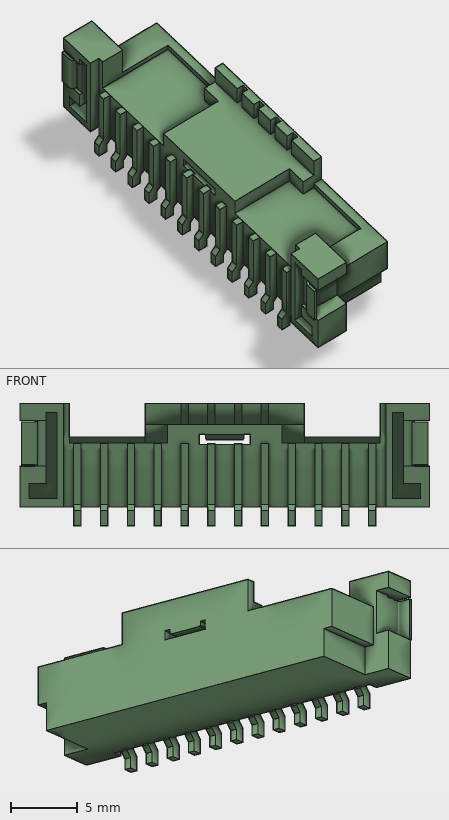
import cadquery as cq


total_length = 30.6
depth_y = 8.0
front_wall_y = 1.05
floor_z = 4.77
rim_z = 5.23
upper_half_length = 13.85
lower_half_length = 13.1
lower_step_z = 2.2
recess_half_length = 11.6
rear_wall_y = 7.25

raised_z = 6.15
raised_half_length = 4.28
shoulder_half_length = 5.95
shoulder_y = 6.25
top_z = 7.75

window_half_length = 1.9
window_bottom_z = 4.68
window_top_z = 5.42
key_half_length = 1.45
key_bottom_z = 5.02
key_chamfer = 0.1

pin_count = 12
pin_row_length = 22.0
pin_pitch = pin_row_length / (pin_count - 1)
pin_width = 0.55
pin_top_z = 4.75
pin_front_y = 0.43
pin_thickness = 0.75
foot_end_z = -1.4
bend_top_z = 0.18
bend_bottom_z = -0.28
bend_back_drop = 0.3

groove_count = 4
groove_back_y = 7.8

block_front_y = 0.23
block_back_y = 2.95
block_front_inner_x = 12.05
half_length = total_length / 2

pocket_inner_x = 12.52
pocket_stem_x = 13.35
pocket_foot_x = 14.6
pocket_bottom_z = 0.65
pocket_foot_z = 1.75
pocket_top_z = 7.07
pocket_depth = 2.35

notch_bottom_z = 3.05
notch_top_z = 6.45
tab_gap = 0.1
tab_thickness = 0.2
tab_outer_x = 15.18
tab_leg_x = 13.98
tab_bend_radius = 0.37
tab_leg_end_y = 1.53
tab_recess_y = 0.45


def box(x_range, y_range, z_range):
    """Box between pairs of X, Y and Z limits."""
    size = [high - low for low, high in (x_range, y_range, z_range)]
    corner = (x_range[0], y_range[0], z_range[0])
    return cq.Workplane("XY").box(*size, centered=False).translate(corner)


def centered_box(half_x, y_range, z_range):
    """Box that is symmetric about X = 0."""
    return box((-half_x, half_x), y_range, z_range)


def row(count):
    """X places of a centered row at the pin pitch."""
    return [(i - (count - 1) / 2) * pin_pitch for i in range(count)]


def housing():
    front_face = centered_box(block_front_inner_x, (front_wall_y, block_back_y), (0, floor_z))
    lower = centered_box(lower_half_length, (block_back_y, depth_y), (0, lower_step_z))
    upper = centered_box(upper_half_length, (block_back_y, depth_y), (lower_step_z, rim_z))
    recess = centered_box(recess_half_length, (front_wall_y, rear_wall_y), (floor_z, rim_z))
    return front_face.union(lower).union(upper).cut(recess)


def raised_middle():
    middle = centered_box(raised_half_length, (front_wall_y, depth_y), (floor_z, raised_z))
    shoulder = centered_box(shoulder_half_length, (shoulder_y, depth_y), (floor_z, raised_z))
    wall = centered_box(shoulder_half_length, (rear_wall_y, depth_y), (raised_z, top_z))
    for x in row(groove_count):
        groove = centered_box(pin_width / 2, (rear_wall_y, groove_back_y), (raised_z, top_z))
        wall = wall.cut(groove.translate((x, 0, 0)))
    return middle.union(shoulder).union(wall)


def window():
    opening = centered_box(window_half_length, (front_wall_y, depth_y), (window_bottom_z, window_top_z))
    key = centered_box(key_half_length, (shoulder_y, depth_y), (key_bottom_z, window_top_z))
    key = key.edges("|Y and <Z").chamfer(key_chamfer)
    return opening.cut(key)


def pin():
    pin_back_y = pin_front_y + pin_thickness
    profile = [
        (pin_front_y, pin_top_z),
        (pin_front_y, bend_top_z),
        (0, bend_bottom_z),
        (0, foot_end_z),
        (pin_thickness, foot_end_z),
        (pin_thickness, bend_bottom_z - bend_back_drop),
        (pin_back_y, bend_top_z - bend_back_drop),
        (pin_back_y, pin_top_z),
    ]
    return cq.Workplane("YZ").polyline(profile).close().extrude(pin_width / 2, both=True)


def l_pocket():
    outline = [
        (pocket_inner_x, pocket_bottom_z),
        (pocket_foot_x, pocket_bottom_z),
        (pocket_foot_x, pocket_foot_z),
        (pocket_stem_x, pocket_foot_z),
        (pocket_stem_x, pocket_top_z),
        (pocket_inner_x, pocket_top_z),
    ]
    front = cq.Workplane("XZ", origin=(0, block_front_y, 0))
    return front.polyline(outline).close().extrude(-pocket_depth)


def solder_tab():
    """Flat plate on the board plane, bent into a leg that runs into the end block."""
    bottom_z = notch_bottom_z + tab_gap
    height = notch_top_z - notch_bottom_z - 2 * tab_gap
    inner_radius = tab_bend_radius - tab_thickness
    leg_outer_x = tab_leg_x + tab_thickness
    bend_x = tab_leg_x + tab_bend_radius
    outline = (
        cq.Workplane("XY", origin=(0, 0, bottom_z))
        .moveTo(tab_outer_x, 0)
        .lineTo(bend_x, 0)
        .radiusArc((tab_leg_x, tab_bend_radius), tab_bend_radius)
        .lineTo(tab_leg_x, tab_leg_end_y)
        .lineTo(leg_outer_x, tab_leg_end_y)
        .lineTo(leg_outer_x, tab_bend_radius)
        .radiusArc((bend_x, tab_thickness), -inner_radius)
        .lineTo(tab_outer_x, tab_thickness)
        .close()
    )
    return outline.extrude(height)


def end_block():
    """End block on the +X side."""
    notch_z = (notch_bottom_z, notch_top_z)
    notch_inner_x = tab_leg_x + tab_thickness
    block = box((block_front_inner_x, half_length), (block_front_y, block_back_y), (0, top_z))
    inner_step = box((recess_half_length, block_front_inner_x), (front_wall_y, block_back_y), (0, top_z))
    notch = box((notch_inner_x, half_length), (block_front_y, block_back_y), notch_z)
    recess = box((pocket_stem_x, notch_inner_x), (block_front_y, tab_recess_y), notch_z)
    leg_slot = box((tab_leg_x, notch_inner_x), (tab_recess_y, tab_leg_end_y), notch_z)
    block = block.union(inner_step)
    for hollow in (notch, recess, leg_slot, l_pocket()):
        block = block.cut(hollow)
    return block.union(solder_tab())


result = housing().union(raised_middle()).cut(window())
right_block = end_block()
result = result.union(right_block).union(right_block.mirror("YZ"))
for pin_x in row(pin_count):
    result = result.union(pin().translate((pin_x, 0, 0)))